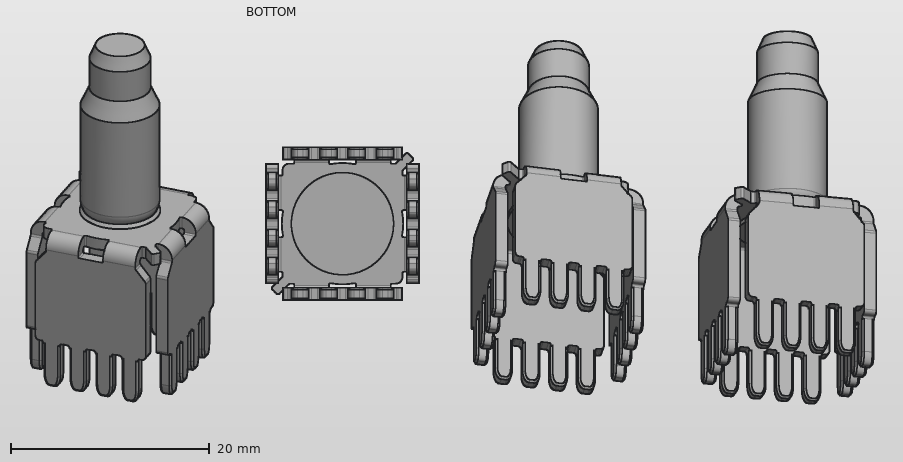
import cadquery as cq
import math

width = 15.4
thickness = 1.25
plate_top = 17.0
plate_bottom = plate_top - thickness
plate_half = 6.05
plate_corner_radius = 0.7
relief_radius = 0.1
bend_radius = 1.5
bend_inner_radius = bend_radius - thickness
bend_center = width / 2 - bend_radius
bend_bottom = plate_top - bend_radius

tab_width = 1.0
tab_reach = 9.7
tab_corner_radius = 0.2

strip_half = 4.85
leg_half = 6.0
shoulder_top = 15.23
shoulder_bottom = 13.9
shoulder_inner_radius = 0.35
shoulder_outer_radius = 0.45
leg_bottom = 5.05
leg_corner_radius = 0.45

slot_width = 2.7
slot_bottom = 15.23
slot_corner_radius = 0.15
slot_back_radius = 6.12

pin_count = 4
pin_pitch = 2.85
pin_width = 1.75
pin_root_radius = 0.25
pin_top = 4.75
pin_chamfer = 0.2
tip_height = 1.25
tip_inset = 0.6
pin_centers = [(i - (pin_count - 1) / 2) * pin_pitch for i in range(pin_count)]

selection_margin = 0.05

shaft_top = 36.0
shaft_radius = 4.0
nose_radius = 3.1
nose_top_radius = 2.5
nose_chamfer_bottom = 34.55
nose_bottom = 31.2
shaft_shoulder = 29.25
foot_top = 18.55
foot_bottom = 17.55
foot_radius = 3.75
foot_bulge_radius = 3.942
lip_radius = 4.05
lip_height = 0.2

flange_radius = 5.15
flange_height = 0.45


def top_plate():
    plate = (
        cq.Workplane("XY", origin=(0, 0, plate_bottom))
        .rect(2 * plate_half, 2 * plate_half)
        .extrude(thickness)
    )
    plain_corners = plate.edges("|Z and (<(1, 1, 0) or >(1, 1, 0))")
    plate = plain_corners.fillet(plate_corner_radius)
    tabs = (
        cq.Workplane("XY", origin=(0, 0, plate_bottom))
        .transformed(rotate=(0, 0, -45))
        .rect(2 * tab_reach, tab_width)
        .extrude(thickness)
        .edges("|Z")
        .fillet(tab_corner_radius)
    )
    return plate.union(tabs)


def bend():
    """Strip that leaves the plate toward -Y and turns down into a leg."""
    diagonal = math.sqrt(0.5)
    section = (
        cq.Workplane("YZ", origin=(-strip_half, 0, 0))
        .moveTo(-plate_half, plate_top)
        .lineTo(-bend_center, plate_top)
        .threePointArc(
            (-bend_center - bend_radius * diagonal, bend_bottom + bend_radius * diagonal),
            (-width / 2, bend_bottom),
        )
        .lineTo(-width / 2 + thickness, bend_bottom)
        .threePointArc(
            (-bend_center - bend_inner_radius * diagonal, bend_bottom + bend_inner_radius * diagonal),
            (-bend_center, plate_bottom),
        )
        .lineTo(-plate_half, plate_bottom)
        .close()
    )
    return section.extrude(2 * strip_half)


def pin():
    """One pin centred on X = 0, with chamfered edges and a rounded tip."""
    half = pin_width / 2
    return (
        cq.Workplane("XZ", origin=(0, -width / 2 + thickness, 0))
        .moveTo(-half, pin_top)
        .lineTo(-half, tip_height)
        .ellipseArc(tip_inset, tip_height, 180, 270)
        .lineTo(half - tip_inset, 0)
        .ellipseArc(tip_inset, tip_height, 270, 360)
        .lineTo(half, pin_top)
        .close()
        .extrude(thickness)
        .faces("|Y")
        .edges("not(>Z)")
        .chamfer(pin_chamfer)
    )


def round_corners(sheet, half_span, z, radius):
    """Round the outline corners of a leg at height z, out to half_span on each side."""
    reach = half_span + selection_margin
    lower = (-reach, -width, z - selection_margin)
    upper = (reach, width, z + selection_margin)
    return sheet.edges("|Y").edges(cq.selectors.BoxSelector(lower, upper)).fillet(radius)


def leg_blank():
    """Flat leg on the -Y side, ending in short stubs that carry the pins."""
    outline = [(strip_half, bend_bottom), (strip_half, shoulder_top)]
    outline += [(leg_half, shoulder_bottom), (leg_half, leg_bottom)]
    for x in reversed(pin_centers):
        right = x + pin_width / 2
        left = x - pin_width / 2
        outline += [(right, leg_bottom), (right, pin_top), (left, pin_top), (left, leg_bottom)]
    outline += [(-leg_half, leg_bottom), (-leg_half, shoulder_bottom)]
    outline += [(-strip_half, shoulder_top), (-strip_half, bend_bottom)]
    blank = (
        cq.Workplane("XZ", origin=(0, -width / 2 + thickness, 0))
        .polyline(outline)
        .close()
        .extrude(thickness)
    )

    pin_span = pin_centers[-1] + pin_width / 2
    blank = round_corners(blank, pin_span, leg_bottom, pin_root_radius)
    blank = round_corners(blank, leg_half, leg_bottom, leg_corner_radius)
    blank = round_corners(blank, leg_half, shoulder_bottom, shoulder_outer_radius)
    return round_corners(blank, strip_half, shoulder_top, shoulder_inner_radius)


def slot_cutter():
    """Opening in the -Y bend that leaves a round plate edge behind it."""
    height = plate_top - slot_bottom
    depth = width / 2
    cutter = (
        cq.Workplane("XY", origin=(0, -depth / 2, slot_bottom))
        .box(slot_width, depth, height, centered=(True, True, False))
    )
    core = cq.Workplane("XY").circle(slot_back_radius).extrude(plate_top)
    cutter = cutter.cut(core)
    cutter = cutter.edges("|Z and (not <Y)").fillet(slot_corner_radius)
    return cutter.edges("|Y and <Z").fillet(slot_corner_radius)


def leg():
    bent_leg = bend().union(leg_blank())
    for x in pin_centers:
        bent_leg = bent_leg.union(pin().translate((x, 0, 0)))
    return bent_leg


def round_reliefs(sheet):
    """Round the inside corners where the strips leave the plate."""
    mid_z = plate_bottom + thickness / 2
    for x, y in ((strip_half, plate_half), (plate_half, strip_half)):
        for x_sign in (-1, 1):
            for y_sign in (-1, 1):
                corner = cq.Vector(x_sign * x, y_sign * y, mid_z)
                edge = cq.selectors.NearestToPointSelector(corner)
                sheet = sheet.edges(edge).fillet(relief_radius)
    return sheet


def shaft():
    return (
        cq.Workplane("XZ")
        .moveTo(0, plate_bottom)
        .lineTo(foot_radius, plate_bottom)
        .lineTo(foot_radius, plate_top)
        .lineTo(lip_radius, plate_top + lip_height)
        .lineTo(foot_radius, foot_bottom)
        .threePointArc((foot_bulge_radius, (foot_top + foot_bottom) / 2), (shaft_radius, foot_top))
        .lineTo(shaft_radius, shaft_shoulder)
        .lineTo(nose_radius, nose_bottom)
        .lineTo(nose_radius, nose_chamfer_bottom)
        .lineTo(nose_top_radius, shaft_top)
        .lineTo(0, shaft_top)
        .close()
        .revolve(360, (0, 0, 0), (0, 1, 0))
    )


def flange():
    return (
        cq.Workplane("XY", origin=(0, 0, plate_bottom - flange_height))
        .circle(flange_radius)
        .extrude(flange_height)
    )


def around_axis(shape):
    """The shape turned onto each of the four sides."""
    return [shape.rotate((0, 0, 0), (0, 0, 1), angle) for angle in (0, 90, 180, 270)]


bracket = top_plate()
for side_leg in around_axis(leg()):
    bracket = bracket.union(side_leg)
bracket = round_reliefs(bracket)
for cutter in around_axis(slot_cutter()):
    bracket = bracket.cut(cutter)

result = bracket.union(flange()).union(shaft())